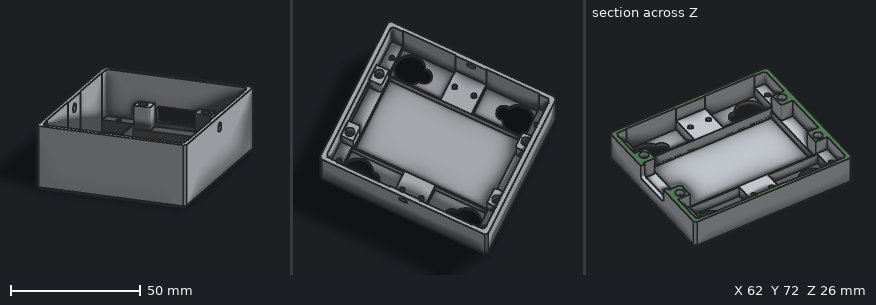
import cadquery as cq

length_x = 62.0
length_y = 72.0
height = 26.0
edge_chamfer = 1.0

side_wall = 1.8
end_wall = 2.0
cavity_corner_radius = 1.3
cavity_half_x = length_x / 2 - side_wall
cavity_half_y = length_y / 2 - end_wall

floor_z = 1.6
key_pocket_z = 2.15
end_ledge_z = 5.1
side_ledge_z = 6.85
boss_top_z = 14.6

well_half_x = 15.9
well_half_y = 28.45

pocket_inner_x = 16.4
pocket_outer_x = 29.45
pocket_inner_y = 6.6
pocket_outer_y = 29.15

key_x = 23.2
key_head_y = 23.2
key_head_diameter = 12.0
key_neck_y = 17.1
key_neck_diameter = 6.0

boss_inner_x = 9.15
boss_inner_y = 28.65
boss_corner_radius = 1.0
boss_hole_x = 13.0
boss_hole_y = 31.5
boss_hole_diameter = 3.5

pin_diameter = 2.0
left_pin_x = -23.1
left_pin_ys = (31.2, 4.2, -3.95, -31.2)
right_pin_x = 23.1
right_pin_ys = (30.9, 3.95, -4.25, -31.2)

cross_hole_z = 21.5
cross_hole_diameter = 3.5

window_half_x = 8.35
window_bottom_z = 6.85
window_top_z = 13.5
window_radius = 1.2

SIGNS = (-1, 1)
CORNERS = [(sx, sy) for sx in SIGNS for sy in SIGNS]


def block(x0, x1, y0, y1, z0, z1):
    """Box between two opposite corners, given in any order."""
    return (
        cq.Workplane("XY")
        .box(abs(x1 - x0), abs(y1 - y0), abs(z1 - z0))
        .translate(((x0 + x1) / 2, (y0 + y1) / 2, (z0 + z1) / 2))
    )


def centered_block(half_x, half_y, z0, z1):
    return block(-half_x, half_x, -half_y, half_y, z0, z1)


def drill(x, y, diameter, z0, z1):
    """Vertical cylinder used as a cutter."""
    return cq.Workplane("XY", origin=(x, y, z0)).circle(diameter / 2).extrude(z1 - z0)


def make_shell():
    """Open box with chamfered corners, stepped ledges and a central well."""
    shell = (
        centered_block(length_x / 2, length_y / 2, 0, height)
        .edges("|Z").chamfer(edge_chamfer)
        .faces("<Z").edges().chamfer(edge_chamfer)
    )
    cavity = (
        centered_block(cavity_half_x, cavity_half_y, side_ledge_z, height)
        .edges("|Z").fillet(cavity_corner_radius)
    )
    end_steps = centered_block(well_half_x, cavity_half_y, end_ledge_z, side_ledge_z)
    well = centered_block(well_half_x, well_half_y, floor_z, side_ledge_z)
    return shell.cut(cavity).cut(end_steps).cut(well)


def make_boss(sx, sy):
    """Square post standing on an end ledge beside the end wall."""
    inner_x_face = ">X" if sx < 0 else "<X"
    inner_y_edge = ">Y" if sy < 0 else "<Y"
    post = block(
        sx * boss_inner_x, sx * well_half_x,
        sy * boss_inner_y, sy * cavity_half_y,
        end_ledge_z, boss_top_z,
    )
    return post.faces(inner_x_face).edges(inner_y_edge).fillet(boss_corner_radius)


def make_key_cutter(sx, sy):
    """Pocket open to the top, with a keyhole through the floor below it."""
    pocket = block(
        sx * pocket_inner_x, sx * pocket_outer_x,
        sy * pocket_inner_y, sy * pocket_outer_y,
        key_pocket_z, height,
    )
    head = drill(sx * key_x, sy * key_head_y, key_head_diameter, 0, side_ledge_z)
    neck = drill(sx * key_x, sy * key_neck_y, key_neck_diameter, 0, key_pocket_z)
    return pocket.union(head).union(neck)


def make_window():
    """Rounded opening in the +Y wall between the two bosses."""
    return (
        block(
            -window_half_x, window_half_x,
            cavity_half_y, length_y / 2,
            window_bottom_z, window_top_z,
        )
        .edges("|Y").fillet(window_radius)
    )


def make_cross_hole():
    """Cutter along X through both side walls, below the rim."""
    return (
        cq.Workplane("YZ", origin=(-length_x / 2, 0, cross_hole_z))
        .circle(cross_hole_diameter / 2)
        .extrude(length_x)
    )


result = make_shell()

for sx, sy in CORNERS:
    boss_hole = drill(sx * boss_hole_x, sy * boss_hole_y, boss_hole_diameter, 0, boss_top_z)
    result = result.union(make_boss(sx, sy))
    result = result.cut(make_key_cutter(sx, sy))
    result = result.cut(boss_hole)

for pin_x, pin_ys in ((left_pin_x, left_pin_ys), (right_pin_x, right_pin_ys)):
    for pin_y in pin_ys:
        result = result.cut(drill(pin_x, pin_y, pin_diameter, 0, side_ledge_z))

result = result.cut(make_cross_hole())
result = result.cut(make_window())